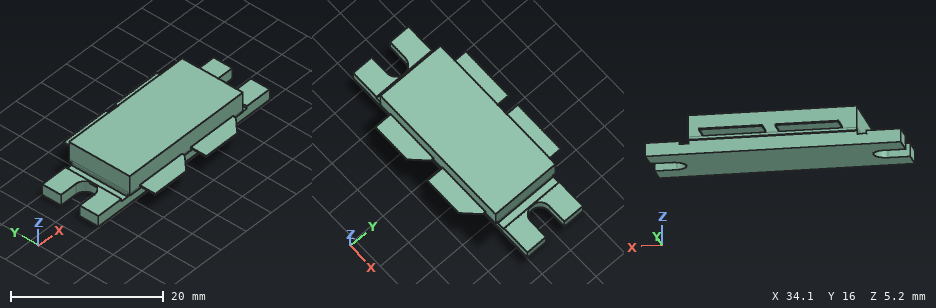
import cadquery as cq

flange_length = 34.1
flange_width = 9.8
flange_height = 1.85
slot_width = 3.2
slot_depth = 4.57
slot_end_wall = 0.017
groove_depth = 0.4

package_length = 22.5
package_width = 10.57
insulator_height = 0.4
total_height = 5.2

lead_span = 16.0
lead_width = 8.42
lead_pitch = 10.15
lead_thickness = 0.17
lead_corner_cut = 2.25

groove_start = slot_depth + slot_end_wall
insulator_top = flange_height + insulator_height
sides = (-1, 1)


def block(length, width, height, base):
    """Box centred on the Z axis, standing on the given height."""
    box = cq.Workplane("XY").box(length, width, height, centered=(True, True, False))
    return box.translate((0, 0, base))


def make_flange():
    flange = block(flange_length, flange_width, flange_height, 0)
    groove_width = (flange_length - package_length) / 2 - groove_start
    groove = block(groove_width, flange_width, groove_depth, flange_height - groove_depth)
    groove_x = (package_length + groove_width) / 2
    slot = cq.Workplane("XY").slot2D(2 * slot_depth, slot_width).extrude(flange_height)
    for side in sides:
        flange = flange.cut(groove.translate((side * groove_x, 0, 0)))
        flange = flange.cut(slot.translate((side * flange_length / 2, 0, 0)))
    return flange


def make_package():
    insulator = block(package_length, package_width, insulator_height, flange_height)
    cap = block(package_length, package_width, total_height - insulator_top, insulator_top)
    return insulator.union(cap, clean=False)


def make_lead_pair():
    """One strip crossing the package, giving a lead on each side; the -Y lead has a cut corner."""
    strip = block(lead_width, lead_span, lead_thickness, insulator_top)
    return strip.edges("|Z and >X and <Y").chamfer(lead_corner_cut)


result = make_flange().union(make_package(), clean=False)
for side in sides:
    lead_pair = make_lead_pair().translate((side * lead_pitch / 2, 0, 0))
    result = result.union(lead_pair, clean=False)